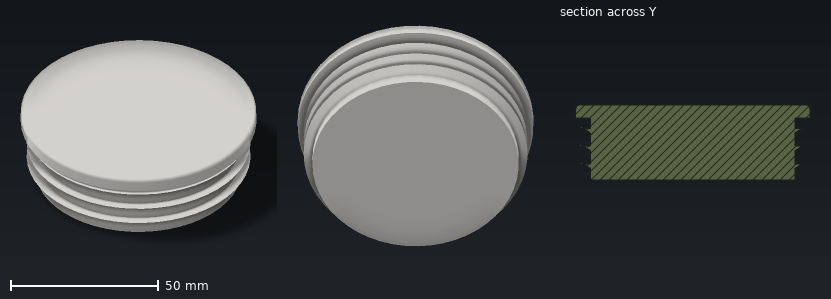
import cadquery as cq

head_diameter = 80.0
total_height = 26.0
head_thickness = 5.0
head_edge_radius = 1.5

body_diameter = 70.0
fin_diameter = 76.0
fin_height = 2.0
fin_count = 3
fin_pitch = 6.0
first_fin_base = 4.0

head_base = total_height - head_thickness
body_radius = body_diameter / 2
fin_radius = fin_diameter / 2


def make_head():
    """Round cap with a rounded upper rim."""
    disc = cq.Workplane("XY").workplane(offset=head_base).circle(head_diameter / 2).extrude(head_thickness)
    return disc.faces(">Z").edges().fillet(head_edge_radius)


def make_fin(base_z):
    """Ring with a flat top that widens upward to a sharp edge."""
    top_z = base_z + fin_height
    profile = (
        cq.Workplane("XZ")
        .moveTo(0, base_z)
        .lineTo(body_radius, base_z)
        .lineTo(fin_radius, top_z)
        .lineTo(0, top_z)
        .close()
    )
    return profile.revolve(360, (0, 0, 0), (0, 1, 0))


result = cq.Workplane("XY").circle(body_radius).extrude(head_base).union(make_head())
for fin_index in range(fin_count):
    result = result.union(make_fin(first_fin_base + fin_index * fin_pitch))